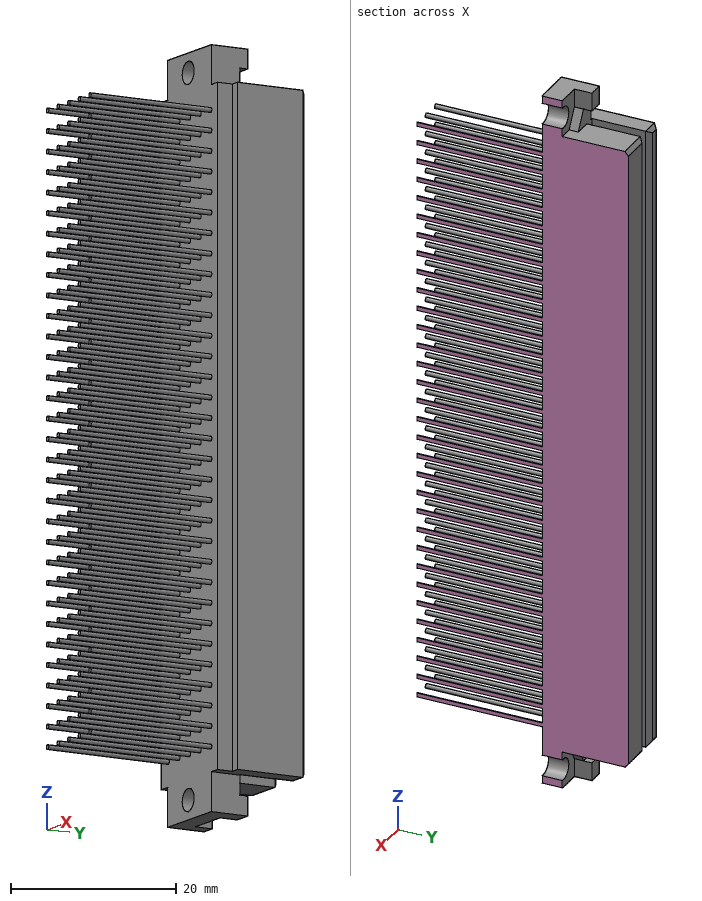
import cadquery as cq
import math


overall_length = 94.9
overall_width = 16.0
body_height = 11.7
body_length = 85.0

base_width = 13.5
wall_bottom = 2.1
channel_floor = 4.0
channel_width = 11.2
tongue_width = 8.3

bevel = 0.5
wall_inner_bevel = 0.95
end_bevel = 0.6

key_step_x = 1.3
key_step_depth = 1.0

ear_width = 10.5
ear_height = 5.1
neck_height = 4.0
hole_diameter = 2.8
hole_x = -0.3
hole_edge_distance = 2.5
nut_corner_width = 5.9
nut_floor = 2.75

pin_diameter = 0.6
pin_length = 16.9
pin_embed = 0.95
pin_row_span = 78.8
pin_columns = 5
pin_rows = 32
pin_pitch = pin_row_span / (pin_rows - 1)

hole_z = overall_length / 2 - hole_edge_distance


def box(x_range, y_range, z_range):
    """Box spanning the given (low, high) ranges."""
    (x0, x1), (y0, y1), (z0, z1) = x_range, y_range, z_range
    return cq.Workplane("XY").box(x1 - x0, y1 - y0, z1 - z0, centered=False).translate((x0, y0, z0))


def bevelled_bar(left, right, bottom, left_bevel, right_bevel, length):
    """Bar along Z, centred on Z = 0, with its mating edges bevelled on both sides and both ends."""
    shoulder = body_height - bevel
    section = [
        (left, bottom),
        (right, bottom),
        (right, shoulder),
        (right - right_bevel, body_height),
        (left + left_bevel, body_height),
        (left, shoulder),
    ]
    end = length / 2
    side_outline = [
        (bottom, -end),
        (shoulder, -end),
        (body_height, end_bevel - end),
        (body_height, end - end_bevel),
        (shoulder, end),
        (bottom, end),
    ]
    bar = cq.Workplane("XY").polyline(section).close().extrude(end, both=True)
    side = cq.Workplane("YZ").polyline(side_outline).close().extrude(overall_width, both=True)
    return bar.intersect(side)


def make_housing():
    """Base with two side walls and the keyed tongue between them."""
    half_length = body_length / 2
    z_range = (-half_length, half_length)
    base = box((-base_width / 2, base_width / 2), (0, channel_floor), z_range)
    outer, inner = overall_width / 2, channel_width / 2
    left_wall = bevelled_bar(-outer, -inner, wall_bottom, bevel, wall_inner_bevel, body_length)
    right_wall = left_wall.mirror("YZ")

    tongue_half = tongue_width / 2
    long_part = bevelled_bar(-tongue_half, key_step_x, channel_floor, bevel, bevel, body_length)
    short_length = body_length - 2 * key_step_depth
    short_part = bevelled_bar(0, tongue_half, channel_floor, 0, bevel, short_length)
    return base.union(left_wall).union(right_wall).union(long_part).union(short_part)


def make_top_ear():
    """Mounting ear at the +Z end with a screw hole and an open-ended hexagonal nut seat."""
    end = overall_length / 2
    x_range = (-ear_width / 2, ear_width / 2)
    neck = box(x_range, (0, neck_height), (body_length / 2, end))
    lip = box(x_range, (0, ear_height), (hole_z, end))

    half_corners = nut_corner_width / 2
    half_flat = half_corners / 2
    half_across_flats = half_corners * math.sin(math.radians(60))
    seat_outline = [
        (hole_x - half_corners, end),
        (hole_x - half_corners, hole_z),
        (hole_x - half_flat, hole_z - half_across_flats),
        (hole_x + half_flat, hole_z - half_across_flats),
        (hole_x + half_corners, hole_z),
        (hole_x + half_corners, end),
    ]
    seat = (
        cq.Workplane("XZ", origin=(0, nut_floor, 0))
        .polyline(seat_outline)
        .close()
        .extrude(nut_floor - ear_height)
    )
    hole = cq.Workplane("XZ").center(hole_x, hole_z).circle(hole_diameter / 2).extrude(-ear_height)
    return neck.union(lip).cut(seat).cut(hole)


def make_pins():
    """Grid of round contact pins on the mounting face, rooted in the base."""
    return (
        cq.Workplane("XZ", origin=(0, pin_embed, 0))
        .rarray(pin_pitch, pin_pitch, pin_columns, pin_rows)
        .circle(pin_diameter / 2)
        .extrude(pin_embed + pin_length)
    )


top_ear = make_top_ear()
bottom_ear = top_ear.mirror("XY")
result = make_housing().union(top_ear).union(bottom_ear).union(make_pins())